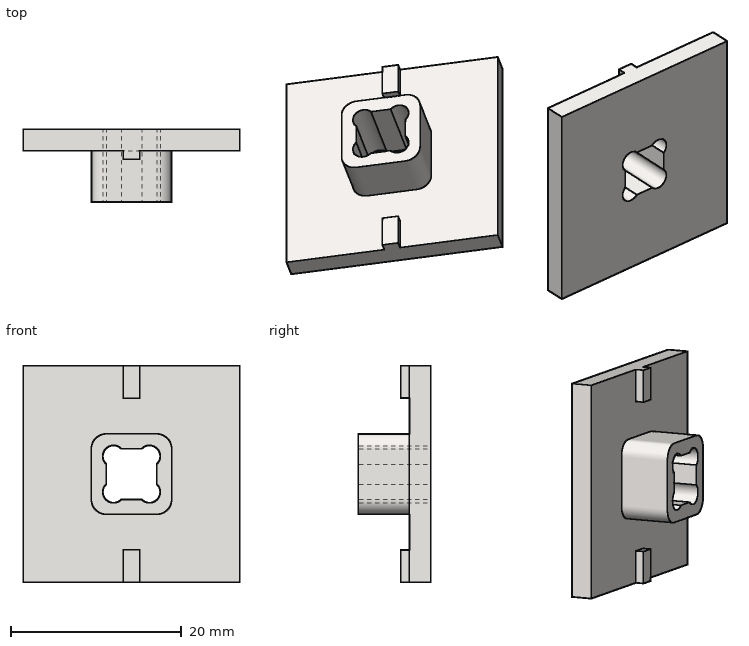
import cadquery as cq

plate_side = 25.4
plate_thickness = 2.54

boss_side = 9.43
boss_length = 6.0
boss_corner_radius = 1.76

opening_side = 5.9
relief_diameter = 2.5
relief_spacing = 4.2

tab_width = 1.9
tab_length = 3.81
tab_height = 1.0


def front_plane(y):
    """XZ plane at the given Y whose normal points toward -Y."""
    return cq.Workplane("XZ", origin=(0, y, 0))


def make_plate():
    return front_plane(plate_thickness).rect(plate_side, plate_side).extrude(plate_thickness)


def make_boss():
    boss = front_plane(0).rect(boss_side, boss_side).extrude(boss_length)
    return boss.edges("|Y").fillet(boss_corner_radius)


def make_tab(side):
    """Tab flush with the top edge (side = 1) or the bottom edge (side = -1)."""
    center_z = side * (plate_side - tab_length) / 2
    return front_plane(0).center(0, center_z).rect(tab_width, tab_length).extrude(tab_height)


def make_opening():
    depth = plate_thickness + boss_length
    square = front_plane(plate_thickness).rect(opening_side, opening_side).extrude(depth)
    reliefs = (
        front_plane(plate_thickness)
        .rect(relief_spacing, relief_spacing, forConstruction=True)
        .vertices()
        .circle(relief_diameter / 2)
        .extrude(depth)
    )
    return square.union(reliefs)


result = make_plate().union(make_boss())
for side in (1, -1):
    result = result.union(make_tab(side))
result = result.cut(make_opening())